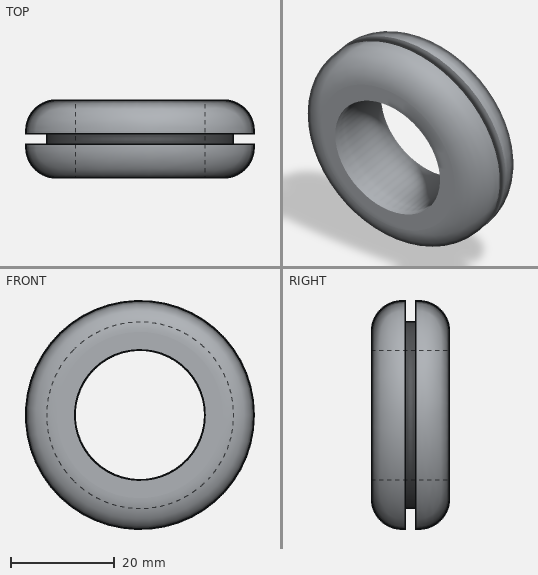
import cadquery as cq

outer_diameter = 44.0
width = 15.0
bore_diameter = 25.0
groove_diameter = 36.0
groove_width = 2.0
rounding_radius = 6.0


def centred_ring(inner_diameter, length):
    """Ring of the full outer diameter, centred on the origin with its axis along Y."""
    return (
        cq.Workplane("XZ", origin=(0, length / 2, 0))
        .circle(outer_diameter / 2)
        .circle(inner_diameter / 2)
        .extrude(length)
    )


def round_outer_edges(ring):
    """Round the outer rim of both end faces, leaving flat faces around the bore."""
    outer_rims = cq.selectors.RadiusNthSelector(-1)
    return ring.edges("%CIRCLE").edges(outer_rims).fillet(rounding_radius)


body = round_outer_edges(centred_ring(bore_diameter, width))
panel_groove = centred_ring(groove_diameter, groove_width)

result = body.cut(panel_groove)